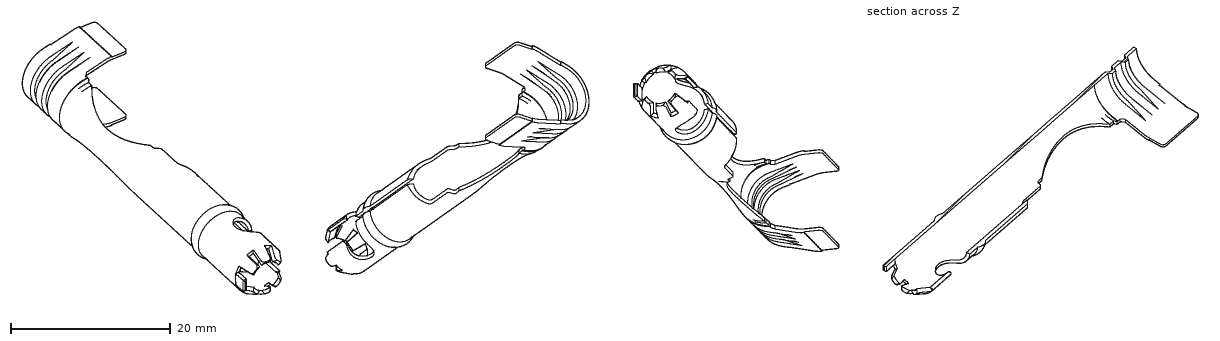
import cadquery as cq
import math


length = 50.29
wall = 0.5
barrel_radius = 3.522
bottom = -barrel_radius
cut_height = 20.0

clamp_end = 7.53
clamp_radius = 4.32
clamp_centre = bottom + clamp_radius
arm_angle = math.radians(15.0)
arm_bend_start = 4.0
arm_bend_end = 5.0
tip_end = 7.36
tip_thickness = 0.4
tip_corner = 0.5
arm_inset = 0.15
arm_inset_start = 0.73
tip_inset = 0.25

groove_centres = (2.49, 5.07)
groove_width = 1.3
groove_floor_width = 0.68
groove_depth = 0.45
groove_runout = 3.3

collar_shoulder = 8.45
neck_start = 9.0
waist_start = 9.75
waist_middle = 16.4
waist_end = 23.2
barrel_start = 24.6
barrel_end = 48.4

collar_radius = 4.47
neck_radius = 4.18
waist_radius = 2.5
waist_end_radius = 3.43
waist_sections = 5

collar_edge = 0.75
neck_edge = 0.5
waist_edge = -1.6
waist_end_edge = 0.36
barrel_edge = 1.22
arm_root_chamfer = 0.45
collar_edge_end = 8.67
step_start = 24.05
step_end = 24.4
step_rounding = 0.3
ramp_start = 28.28
ramp_end = 29.8
ramp_rounding = 0.9

bead_centre = 39.15
bead_half_width = 0.8
bead_height = 0.298
seam_gap = 0.72
notch_centre_x = 43.3
notch_centre_y = 1.6
notch_radius = 1.75
notch_mouth_end = 44.6
wide_gap = 3.1

tooth_angles = (45, 90, 135, 225, 270, 315)
tooth_root_width = 1.7
tooth_tip_width = 1.3
tooth_tip_radius = 0.5
straight_tooth_width = 1.76
tooth_slope = math.radians(30.0)
tooth_bend_radius = 0.6
straight_tooth_chamfer = 0.15


def arc_drop(x, x_end, value_end, x_middle, value_middle):
    """Height at x of a circular arc that is level at the middle and passes through the end."""
    span = abs(x_end - x_middle)
    rise = value_end - value_middle
    radius = (span**2 + rise**2) / (2 * rise)
    return value_middle + radius - math.sqrt(radius**2 - (x - x_middle) ** 2)


def make_clamp():
    cos_a = math.cos(arm_angle)
    sin_a = math.sin(arm_angle)
    inner_radius = clamp_radius - wall
    bend_radius = (arm_bend_end - arm_bend_start) / sin_a
    tangent_y = clamp_centre - clamp_radius * sin_a
    bend_start_z = clamp_radius * cos_a + (arm_bend_start - tangent_y) * math.tan(arm_angle)
    bend_centre_z = bend_start_z - bend_radius * cos_a
    top = bend_centre_z + bend_radius
    tip_inner = top - wall
    tip_outer = tip_inner + tip_thickness

    def arc_point(radius, angle):
        """Point on the U bottom, the angle measured from the arm tangent point's normal."""
        return clamp_centre - radius * math.sin(angle), radius * math.cos(angle)

    def bend_point(radius, angle):
        return arm_bend_end - radius * math.sin(angle), bend_centre_z + radius * math.cos(angle)

    def mirrored(point):
        return point[0], -point[1]

    outer_tangent = arc_point(clamp_radius, arm_angle)
    inner_tangent = arc_point(inner_radius, arm_angle)
    outer_bend = bend_point(bend_radius, arm_angle)
    outer_bend_middle = bend_point(bend_radius, arm_angle / 2)
    inner_bend = bend_point(bend_radius - wall, arm_angle)
    inner_bend_middle = bend_point(bend_radius - wall, arm_angle / 2)

    section = (
        cq.Workplane("YZ")
        .moveTo(tip_end, tip_outer)
        .lineTo(arm_bend_end, tip_outer)
        .lineTo(arm_bend_end, top)
        .threePointArc(outer_bend_middle, outer_bend)
        .lineTo(*outer_tangent)
        .threePointArc((bottom, 0), mirrored(outer_tangent))
        .lineTo(*mirrored(outer_bend))
        .threePointArc(mirrored(outer_bend_middle), (arm_bend_end, -top))
        .lineTo(arm_bend_end, -tip_outer)
        .lineTo(tip_end, -tip_outer)
        .lineTo(tip_end, -tip_inner)
        .lineTo(arm_bend_end, -tip_inner)
        .threePointArc(mirrored(inner_bend_middle), mirrored(inner_bend))
        .lineTo(*mirrored(inner_tangent))
        .threePointArc((bottom + wall, 0), inner_tangent)
        .lineTo(*inner_bend)
        .threePointArc(inner_bend_middle, (arm_bend_end, tip_inner))
        .lineTo(tip_end, tip_inner)
        .close()
        .extrude(collar_shoulder)
    )
    outline = (
        cq.Workplane("XY", origin=(0, 0, -cut_height / 2))
        .moveTo(0, bottom)
        .lineTo(0, arm_inset_start)
        .lineTo(arm_inset, arm_inset_start)
        .lineTo(arm_inset, arm_bend_end)
        .lineTo(tip_inset, arm_bend_end)
        .lineTo(tip_inset, tip_end - tip_corner)
        .radiusArc((tip_inset + tip_corner, tip_end), tip_corner)
        .lineTo(clamp_end - tip_corner, tip_end)
        .radiusArc((clamp_end, tip_end - tip_corner), tip_corner)
        .lineTo(clamp_end, collar_edge + arm_root_chamfer)
        .lineTo(clamp_end + arm_root_chamfer, collar_edge)
        .lineTo(collar_shoulder, collar_edge)
        .lineTo(collar_shoulder, bottom)
        .close()
        .extrude(cut_height)
    )
    return section.intersect(outline)


def groove_run_out(centre_x, base_radius, side):
    """Wedge that continues a groove along one arm (side = +1 or -1) and fades to nothing."""

    def point(dx, radius, along):
        y = clamp_centre - radius * math.sin(arm_angle) + along * math.cos(arm_angle)
        z = radius * math.cos(arm_angle) + along * math.sin(arm_angle)
        return cq.Vector(centre_x + dx, y, side * z)

    half_mouth = groove_width / 2
    half_floor = groove_floor_width / 2
    floor_radius = base_radius - groove_depth
    mouth = [point(dx, base_radius, 0) for dx in (-half_mouth, half_mouth)]
    floor = [point(dx, floor_radius, 0) for dx in (-half_floor, half_floor)]
    end = [point(dx, base_radius, groove_runout) for dx in (-half_mouth, half_mouth)]
    outlines = (
        (mouth[0], mouth[1], floor[1], floor[0]),
        (mouth[0], mouth[1], end[1], end[0]),
        (floor[0], floor[1], end[1], end[0]),
        (mouth[0], floor[0], end[0]),
        (mouth[1], floor[1], end[1]),
    )
    faces = [cq.Face.makeFromWires(cq.Wire.makePolygon(list(p), close=True)) for p in outlines]
    return cq.Workplane(cq.Solid.makeSolid(cq.Shell.makeShell(faces)))


def pressed_band(centre_x, base_radius):
    """Trapezoidal band around the U bottom, standing inwards from base_radius."""
    half_mouth = groove_width / 2
    half_floor = groove_floor_width / 2
    base_y = clamp_centre - base_radius
    sweep = 180 - 2 * math.degrees(arm_angle)
    axis_start = (0, clamp_centre, 0)
    axis_end = (1, clamp_centre, 0)
    band = (
        cq.Workplane("XY")
        .polyline([
            (centre_x - half_mouth, base_y),
            (centre_x + half_mouth, base_y),
            (centre_x + half_floor, base_y + groove_depth),
            (centre_x - half_floor, base_y + groove_depth),
        ])
        .close()
        .revolve(sweep, axis_start, axis_end)
        .rotate(axis_start, axis_end, -sweep / 2)
    )
    for side in (1, -1):
        band = band.union(groove_run_out(centre_x, base_radius, side))
    return band


def loft_sections(sections, inset):
    """Loft circles that all rest on the bottom line, each shrunk by inset about its centre."""
    wires = [
        cq.Wire.makeCircle(radius - inset, cq.Vector(x, bottom + radius, 0), cq.Vector(1, 0, 0))
        for x, radius in sections
    ]
    return cq.Workplane(cq.Solid.makeLoft(wires, len(sections) == 2))


def tube(sections):
    return loft_sections(sections, 0).cut(loft_sections(sections, wall))


def waist_half(x_end, end_radius):
    """Sections from the outer end of the waist to its middle."""
    sections = []
    for i in range(waist_sections):
        x = x_end + (waist_middle - x_end) * i / (waist_sections - 1)
        radius = arc_drop(x, x_end, end_radius, waist_middle, waist_radius)
        sections.append((x, radius))
    return sections


def make_channel():
    """Collar, neck, waist and plain barrel as closed tubes, before the top is opened."""
    stations = (
        [(collar_shoulder, collar_radius), (neck_start, neck_radius)],
        [(neck_start, neck_radius), (waist_start, neck_radius)],
        waist_half(waist_start, neck_radius),
        waist_half(waist_end, waist_end_radius)[::-1],
        [(waist_end, waist_end_radius), (barrel_start, barrel_radius)],
        [(barrel_start, barrel_radius), (barrel_end, barrel_radius)],
    )
    channel = tube(stations[0])
    for sections in stations[1:]:
        channel = channel.union(tube(sections))
    return channel


def add_rise(outline, foot, crest, rounding):
    """Extend a level outline up a straight rise to a higher level, rounding both its corners."""
    angle = math.atan2(crest[1] - foot[1], crest[0] - foot[0])
    setback = rounding * math.tan(angle / 2)
    along_x = setback * math.cos(angle)
    along_y = setback * math.sin(angle)
    return (
        outline.lineTo(foot[0] - setback, foot[1])
        .radiusArc((foot[0] + along_x, foot[1] + along_y), -rounding)
        .lineTo(crest[0] - along_x, crest[1] - along_y)
        .radiusArc((crest[0] + setback, crest[1]), rounding)
    )


def channel_opening():
    """Everything above the open top edge, from the collar to the full barrel."""
    left_x = (waist_start + waist_middle) / 2
    right_x = (waist_end + waist_middle) / 2
    left_y = arc_drop(left_x, waist_start, neck_edge, waist_middle, waist_edge)
    right_y = arc_drop(right_x, waist_end, waist_end_edge, waist_middle, waist_edge)
    above = 2 * barrel_radius
    opening_end = ramp_end + ramp_rounding
    opening = (
        cq.Workplane("XY", origin=(0, 0, -cut_height / 2))
        .moveTo(collar_shoulder, above)
        .lineTo(collar_shoulder, collar_edge)
        .lineTo(collar_edge_end, collar_edge)
        .lineTo(neck_start, neck_edge)
        .lineTo(waist_start, neck_edge)
        .threePointArc((left_x, left_y), (waist_middle, waist_edge))
        .threePointArc((right_x, right_y), (waist_end, waist_end_edge))
    )
    opening = add_rise(opening, (step_start, waist_end_edge), (step_end, barrel_edge), step_rounding)
    opening = add_rise(opening, (ramp_start, barrel_edge), (ramp_end, barrel_radius), ramp_rounding)
    return opening.lineTo(opening_end, above).close().extrude(cut_height)


def make_bead():
    inside = barrel_radius - wall / 2
    return (
        cq.Workplane("XY")
        .moveTo(bead_centre - bead_half_width, inside)
        .lineTo(bead_centre - bead_half_width, barrel_radius)
        .threePointArc(
            (bead_centre, barrel_radius + bead_height),
            (bead_centre + bead_half_width, barrel_radius),
        )
        .lineTo(bead_centre + bead_half_width, inside)
        .close()
        .revolve(360, (0, 0, 0), (1, 0, 0))
    )


def seam_opening():
    """Narrow seam along +Y that widens beyond the notch."""
    height = 2 * barrel_radius
    narrow = cq.Workplane("XY").box(
        length - barrel_start, height, seam_gap, centered=(False, False, True)
    ).translate((barrel_start, 0, 0))
    wide = cq.Workplane("XY").box(
        length - notch_centre_x, height, wide_gap, centered=(False, False, True)
    ).translate((notch_centre_x, 0, 0))
    return narrow.union(wide)


def side_notch():
    """Hook-shaped notch through both flanks: a round seat with a straight mouth."""
    mouth_start = notch_centre_x - notch_radius
    mouth_top = math.sqrt(barrel_radius**2 - (wide_gap / 2) ** 2)
    seat_rise = math.sqrt(notch_radius**2 - (notch_mouth_end - notch_centre_x) ** 2)
    throat_y = notch_centre_y + seat_rise
    mouth_corner_radius = mouth_top - throat_y
    return (
        cq.Workplane("XY", origin=(0, 0, -cut_height / 2))
        .moveTo(mouth_start, 2 * barrel_radius)
        .lineTo(mouth_start, notch_centre_y)
        .threePointArc(
            (notch_centre_x, notch_centre_y - notch_radius),
            (notch_centre_x + notch_radius, notch_centre_y),
        )
        .radiusArc((notch_mouth_end, throat_y), -notch_radius)
        .radiusArc((notch_mouth_end + mouth_corner_radius, mouth_top), mouth_corner_radius)
        .lineTo(notch_mouth_end + mouth_corner_radius, 2 * barrel_radius)
        .close()
        .extrude(cut_height)
    )


def make_bent_teeth():
    """Round-tipped teeth cut from a shell that turns inwards to a cone."""
    sin_s = math.sin(tooth_slope)
    cos_s = math.cos(tooth_slope)
    bend_centre_y = barrel_radius - tooth_bend_radius
    inner_bend_radius = tooth_bend_radius - wall

    def bend_point(radius, angle):
        return barrel_end + radius * math.sin(angle), bend_centre_y + radius * math.cos(angle)

    outer_x, outer_y = bend_point(tooth_bend_radius, tooth_slope)
    inner_x, inner_y = bend_point(inner_bend_radius, tooth_slope)
    run = (length - outer_x) / cos_s
    shell = (
        cq.Workplane("XY")
        .moveTo(barrel_end, barrel_radius)
        .threePointArc(bend_point(tooth_bend_radius, tooth_slope / 2), (outer_x, outer_y))
        .lineTo(length, outer_y - run * sin_s)
        .lineTo(inner_x + run * cos_s, inner_y - run * sin_s)
        .lineTo(inner_x, inner_y)
        .threePointArc(
            bend_point(inner_bend_radius, tooth_slope / 2),
            (barrel_end, barrel_radius - wall),
        )
        .close()
        .revolve(360, (0, 0, 0), (1, 0, 0))
    )
    blank = (
        cq.Workplane("XZ")
        .polyline([
            (barrel_end, -tooth_root_width / 2),
            (length, -tooth_tip_width / 2),
            (length, tooth_tip_width / 2),
            (barrel_end, tooth_root_width / 2),
        ])
        .close()
        .extrude(-2 * barrel_radius)
        .edges("|Y and >X")
        .fillet(tooth_tip_radius)
    )
    teeth = cq.Workplane("XY")
    for angle in tooth_angles:
        tooth = shell.intersect(blank.rotate((0, 0, 0), (1, 0, 0), angle))
        teeth = teeth.add(tooth)
    return teeth


def make_straight_tooth():
    """Flat unbent tooth that stands on the end face at the bottom of the barrel."""
    return (
        cq.Workplane("XY")
        .box(length - barrel_end, wall, straight_tooth_width, centered=(False, False, True))
        .translate((barrel_end, bottom, 0))
        .faces(">X")
        .edges()
        .chamfer(straight_tooth_chamfer)
    )


clamp = make_clamp()
for groove_x in groove_centres:
    clamp = clamp.union(pressed_band(groove_x, clamp_radius - wall))
for groove_x in groove_centres:
    clamp = clamp.cut(pressed_band(groove_x, clamp_radius))

barrel_bore = cq.Workplane("YZ").circle(barrel_radius - wall).extrude(length)
body = make_channel().union(make_bead().cut(barrel_bore))
body = body.cut(channel_opening()).cut(seam_opening()).cut(side_notch())
for bent_tooth in make_bent_teeth().vals():
    body = body.union(cq.Workplane(bent_tooth))
body = body.union(make_straight_tooth())

result = body.union(clamp)